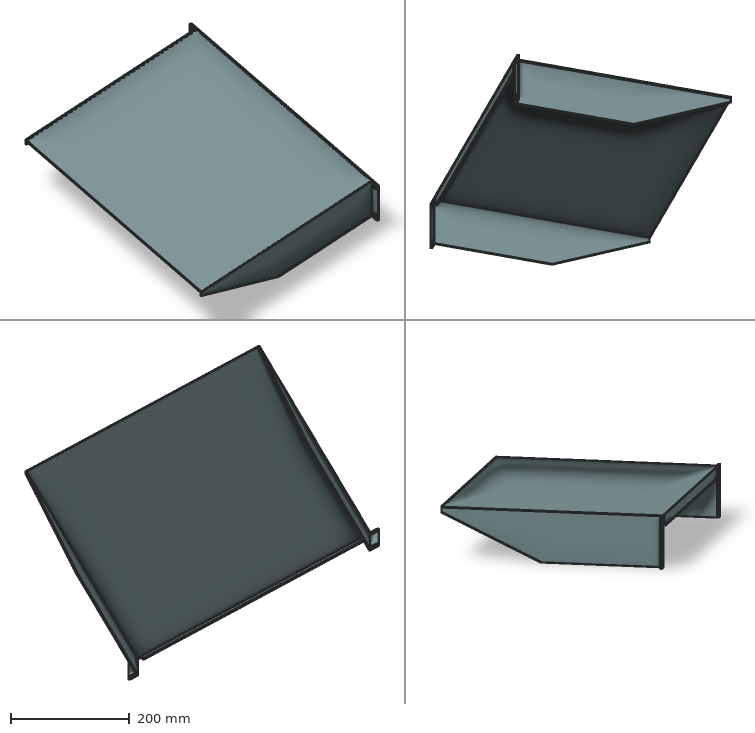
import cadquery as cq

overall_width = 483.0
depth = 381.0
height = 89.0
sheet = 2.0
shelf_width = 451.0

wall_front_height = 9.5
wall_full_depth = 209.5

ear_width = (overall_width - shelf_width) / 2
ear_corner_radius = 4.0
slot_length = 12.5
slot_height = 9.0
slot_edge_distance = 8.0
slot_end_distance = 7.0

lip_width = 429.0
lip_height = 20.5
lip_corner_radius = 4.0

wall_x = (shelf_width - sheet) / 2
ear_x = (shelf_width + ear_width) / 2


def shelf_plate():
    return cq.Workplane("XY").box(shelf_width, depth, sheet).translate((0, -depth / 2, -sheet / 2))


def side_wall(side):
    """Tapered wall on the left (-1) or right (+1) edge of the shelf."""
    outline = [
        (0, 0),
        (-depth, 0),
        (-depth, -wall_front_height),
        (-wall_full_depth, -height),
        (0, -height),
    ]
    wall = cq.Workplane("YZ").polyline(outline).close().extrude(sheet / 2, both=True)
    return wall.translate((side * wall_x, 0, 0))


def mounting_ear(side):
    """Outward flange with rounded outer corners and two slots."""
    outer_edges = ">X and |Y" if side > 0 else "<X and |Y"
    ear = cq.Workplane("XY").box(ear_width, sheet, height)
    ear = ear.edges(outer_edges).fillet(ear_corner_radius)
    ear = ear.translate((side * ear_x, -sheet / 2, -height / 2))
    slot_x = side * (overall_width / 2 - slot_edge_distance)
    slots = (
        cq.Workplane("XZ")
        .pushPoints([(slot_x, -slot_end_distance), (slot_x, slot_end_distance - height)])
        .slot2D(slot_length, slot_height)
        .extrude(sheet)
    )
    return ear.cut(slots)


def rear_lip():
    lip = cq.Workplane("XY").box(lip_width, sheet, lip_height)
    lip = lip.edges("<Z and |Y").fillet(lip_corner_radius)
    return lip.translate((0, -sheet / 2, -lip_height / 2))


result = shelf_plate().union(rear_lip())
for side in (-1, 1):
    result = result.union(side_wall(side)).union(mounting_ear(side))
result = result.clean()